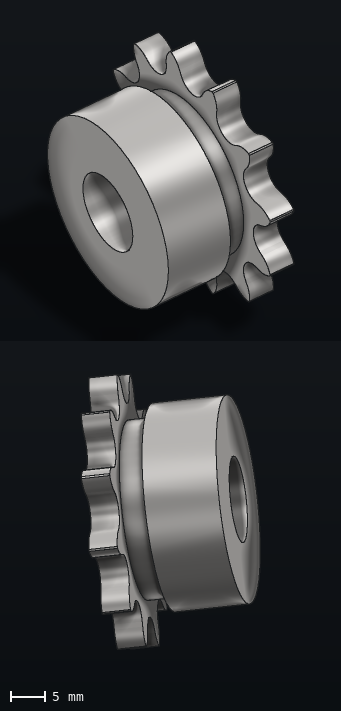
import cadquery as cq
import math


tooth_count = 12
outer_diameter = 41.4
seat_circle_radius = 18.7
seat_radius = 2.95
seat_half_angle = 63.4
flank_length = 0.75
tip_radius = 3.95
tip_sweep = 60

total_length = 19.25
plate_thickness = 4.3
groove_width = 3.85
hub_length = total_length - plate_thickness - groove_width

hub_diameter = 30.85
groove_diameter = 26.6
bore_diameter = 12.7


def polar(center, radius, angle_degrees):
    """Point at a distance and direction from a center."""
    angle = math.radians(angle_degrees)
    return (center[0] + radius * math.cos(angle), center[1] + radius * math.sin(angle))


def mirrored(point):
    """Point reflected across the centerline of the tooth gap."""
    return (-point[0], point[1])


def tooth_gap():
    """Cutter for the gap between two teeth, centered on the Z axis above the bore."""
    seat_center = (0, seat_circle_radius)
    seat_bottom = polar(seat_center, seat_radius, -90)
    seat_end = polar(seat_center, seat_radius, seat_half_angle - 90)
    flank_end = polar(seat_end, flank_length, seat_half_angle)

    tip_center = polar(flank_end, tip_radius, seat_half_angle - 90)
    tip_start_angle = seat_half_angle + 90
    tip_middle = polar(tip_center, tip_radius, tip_start_angle - tip_sweep / 2)
    tip_end = polar(tip_center, tip_radius, tip_start_angle - tip_sweep)
    cutter_top = (tip_end[0], outer_diameter / 2)

    return (
        cq.Workplane("XZ")
        .moveTo(*mirrored(tip_end))
        .threePointArc(mirrored(tip_middle), mirrored(flank_end))
        .lineTo(*mirrored(seat_end))
        .threePointArc(seat_bottom, seat_end)
        .lineTo(*flank_end)
        .threePointArc(tip_middle, tip_end)
        .lineTo(*cutter_top)
        .lineTo(*mirrored(cutter_top))
        .close()
        .extrude(plate_thickness)
    )


def toothed_plate():
    """Flat disc with the tooth gaps cut evenly around its rim."""
    plate = cq.Workplane("XZ").circle(outer_diameter / 2).extrude(plate_thickness)
    gap = tooth_gap()
    for index in range(tooth_count):
        plate = plate.cut(gap.rotate((0, 0, 0), (0, 1, 0), index * 360 / tooth_count))
    return plate


def grooved_hub():
    """Hub on the -Y face of the plate, with a narrower neck next to the teeth."""
    return (
        cq.Workplane("XZ", origin=(0, -plate_thickness, 0))
        .circle(groove_diameter / 2)
        .extrude(groove_width)
        .faces("<Y")
        .workplane()
        .circle(hub_diameter / 2)
        .extrude(hub_length)
    )


def bore():
    """Shaft hole through the full length."""
    return cq.Workplane("XZ").circle(bore_diameter / 2).extrude(total_length)


result = toothed_plate().union(grooved_hub()).cut(bore())